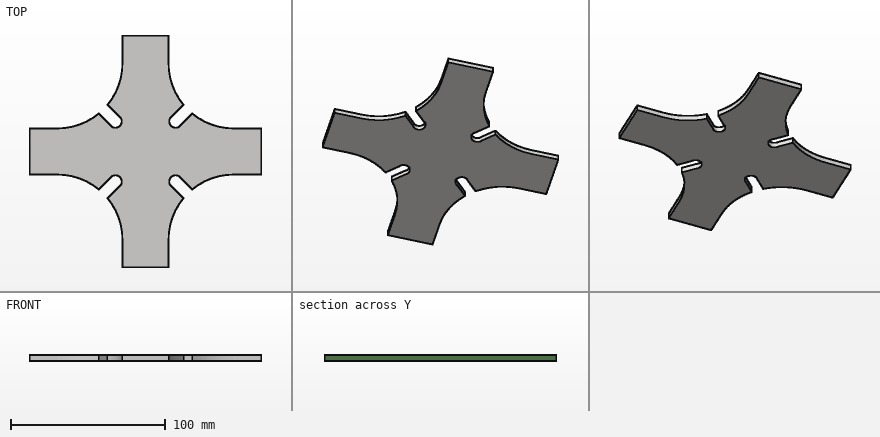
import cadquery as cq
import math

span = 150.0
thickness = 4.0
arm_width = 30.0

blend_radius = 42.0

slot_width = 7.8
slot_end_radius = 4.0
slot_end_offset = 19.5

half_span = span / 2
half_arm = arm_width / 2
blend_end = half_arm + blend_radius


def make_cross():
    """Four-armed plate with a tangent concave arc in each inner corner."""
    arm_x = cq.Workplane("XY").box(span, arm_width, thickness, centered=(True, True, False))
    arm_y = cq.Workplane("XY").box(arm_width, span, thickness, centered=(True, True, False))
    hub = cq.Workplane("XY").rect(2 * blend_end, 2 * blend_end).extrude(thickness)
    corner_cuts = (
        cq.Workplane("XY")
        .rect(2 * blend_end, 2 * blend_end, forConstruction=True)
        .vertices()
        .circle(blend_radius)
        .extrude(thickness)
    )
    return hub.cut(corner_cuts).union(arm_x).union(arm_y)


def make_slot(angle):
    """Cutter running outward along a diagonal from its round inner end."""
    inner = slot_end_offset * math.sqrt(2)
    length = half_span - inner
    channel = (
        cq.Workplane("XY")
        .center(inner + length / 2, 0)
        .rect(length, slot_width)
        .extrude(thickness)
    )
    round_end = cq.Workplane("XY").center(inner, 0).circle(slot_end_radius).extrude(thickness)
    return channel.union(round_end).rotate((0, 0, 0), (0, 0, 1), angle)


result = make_cross()
for slot_angle in (45, 135, 225, 315):
    result = result.cut(make_slot(slot_angle))